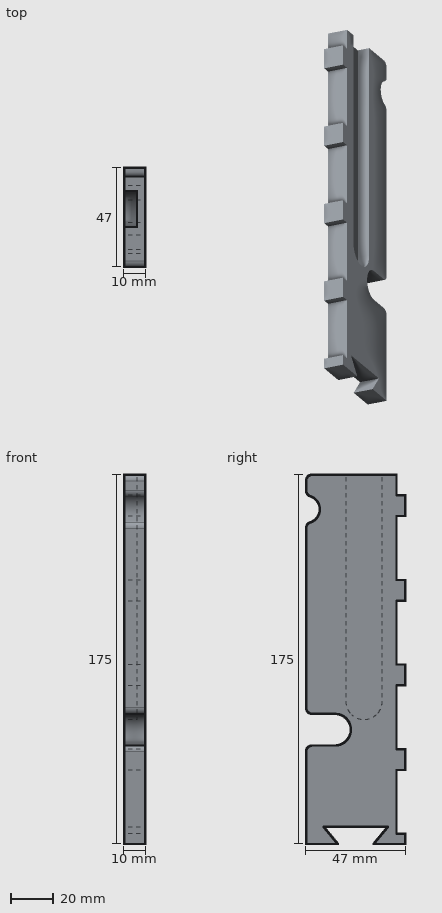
import cadquery as cq

thickness = 10.0
total_width = 47.0
height = 175.0
corner_radius = 3.0

tooth_depth = 4.2
tooth_height = 10.0
tooth_pitch = 40.0
tooth_count = 5
body_width = total_width - tooth_depth

channel_width = 17.0
channel_depth = 6.0
channel_center_y = 27.5
channel_bottom_z = 59.0

slot_width = 14.9
slot_reach = 21.2
slot_z = 54.2
scoop_radius = 6.5
scoop_z = 158.5

dovetail_top_width = 30.3
dovetail_mouth_width = 16.6
dovetail_depth = 8.2


def box(depth, y_min, y_max, z_min, z_max):
    """Block spanning the given Y and Z ranges, from the -X face inward."""
    size = (depth, y_max - y_min, z_max - z_min)
    return cq.Workplane("XY").box(*size, centered=False).translate((0, y_min, z_min))


def cylinder(depth, radius, y, z):
    """Round bar along X, starting at the -X face."""
    return cq.Workplane("YZ").center(y, z).circle(radius).extrude(depth)


def make_slot():
    radius = slot_width / 2
    center_y = slot_reach - radius
    straight = box(thickness, 0, center_y, slot_z - radius, slot_z + radius)
    return straight.union(cylinder(thickness, radius, center_y, slot_z))


def make_channel():
    radius = channel_width / 2
    center_z = channel_bottom_z + radius
    y_min = channel_center_y - radius
    straight = box(channel_depth, y_min, y_min + channel_width, center_z, height)
    return straight.union(cylinder(channel_depth, radius, channel_center_y, center_z))


def make_dovetail():
    center_y = total_width / 2
    half_top = dovetail_top_width / 2
    half_mouth = dovetail_mouth_width / 2
    corners = [
        (center_y - half_mouth, 0),
        (center_y - half_top, dovetail_depth),
        (center_y + half_top, dovetail_depth),
        (center_y + half_mouth, 0),
    ]
    return cq.Workplane("YZ").polyline(corners).close().extrude(thickness)


body = box(thickness, 0, body_width, 0, height)
body = body.cut(make_slot()).cut(cylinder(thickness, scoop_radius, 0, scoop_z))

margin = 0.2
front_corners = cq.selectors.BoxSelector(
    (-margin, -margin, margin), (thickness + margin, margin, height + margin)
)
body = body.edges("|X").edges(front_corners).fillet(corner_radius)

for index in range(tooth_count):
    tooth_z = index * tooth_pitch
    tooth_bottom = max(0, tooth_z - tooth_height / 2)
    tooth_top = tooth_z + tooth_height / 2
    body = body.union(box(thickness, body_width, total_width, tooth_bottom, tooth_top))

result = body.cut(make_channel()).cut(make_dovetail())